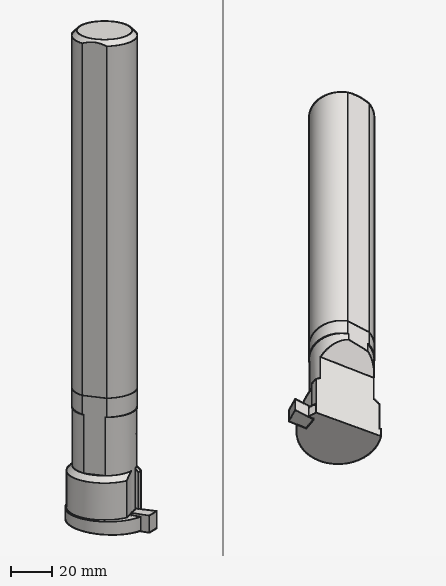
import cadquery as cq

total_height = 254.5
shank_bottom = 69.7
shank_radius = 16.0
flat_distance = 14.8
top_chamfer = 2.5

stem_top = 59.8
stem_radius = 15.8
relief_top = 52.5
relief_bottom = 46.0

drum_radius = 18.5
drum_top = 29.5
shoulder = drum_radius - stem_radius
disc_radius = 20.9
disc_center_x = 1.65
disc_center_y = 0.3
disc_top = 7.6
disc_low_side_z = 0.3
disc_high_side_z = 1.9

cut_center_y = 6.0
cut_slope_angle = 7.0

notch_x = 15.3
notch_y = 0.0
drum_right_x = 17.5

tip_top = 9.0
tip_inner_x = 16.3
tip_overhang = 4.5
tip_outer_x = disc_center_x + disc_radius + tip_overhang
tip_back_y = notch_y
tip_inner_front_y = -6.5
tip_outer_front_y = -7.6
tip_side_clearance = 1.3

bevel_width = 1.8
bevel_depth = 3.8

big = 101.8


def round_bar(radius, bottom, top):
    return cq.Workplane("XY").workplane(offset=bottom).circle(radius).extrude(top - bottom)


def add_flats(bar):
    """Trim a bar to the two flats facing -Y and +Y."""
    slab = cq.Workplane("XY").box(big, 2 * flat_distance, total_height, centered=(True, True, False))
    return bar.intersect(slab)


def make_shank():
    bar = round_bar(shank_radius, shank_bottom, total_height)
    return add_flats(bar.faces(">Z").chamfer(top_chamfer))


def make_drum():
    """Shouldered drum, trimmed on the right and notched in front of the tip."""
    drum = round_bar(drum_radius, disc_top, drum_top).faces(">Z").chamfer(shoulder)
    right_trim = cq.Workplane("XY").box(big, big, big).translate((drum_right_x + big / 2, 0, 0))
    notch = cq.Workplane("XY").box(big, big, big)
    notch = notch.translate((notch_x + big / 2, notch_y - big / 2, 0))
    return drum.cut(right_trim).cut(notch)


def make_disc():
    """Support disc whose underside slopes down towards the tip."""
    left_x = disc_center_x - disc_radius
    right_x = disc_center_x + disc_radius
    wedge = (
        cq.Workplane("XZ")
        .polyline([(left_x, disc_high_side_z), (right_x, disc_low_side_z), (right_x, disc_top), (left_x, disc_top)])
        .close()
        .extrude(big / 2, both=True)
    )
    disc = cq.Workplane("XY").center(disc_center_x, disc_center_y).circle(disc_radius).extrude(disc_top)
    bevel = (
        cq.Workplane("XY")
        .moveTo(drum_right_x, bevel_depth)
        .lineTo(drum_right_x + bevel_width, tip_back_y)
        .lineTo(big, tip_back_y)
        .lineTo(big, big)
        .lineTo(drum_right_x, big)
        .close()
        .extrude(disc_top)
    )
    return disc.intersect(wedge).cut(bevel)


def make_back_cut():
    """Slanted half space behind the head, with a ramp up to the full stem."""
    ramp_run = relief_top - relief_bottom
    cut = (
        cq.Workplane("YZ")
        .polyline([(0, -big), (big, -big), (big, relief_bottom + big), (ramp_run, relief_top), (0, relief_bottom)])
        .close()
        .extrude(big, both=True)
    )
    return cut.rotate((0, 0, 0), (0, 0, 1), -cut_slope_angle).translate((0, cut_center_y, 0))


def make_tip():
    outline = [
        (tip_inner_x, tip_back_y),
        (tip_outer_x, tip_back_y),
        (tip_outer_x - tip_side_clearance, tip_outer_front_y),
        (tip_inner_x, tip_inner_front_y),
    ]
    return cq.Workplane("XY").polyline(outline).close().extrude(tip_top)


def make_head(tip):
    collar = add_flats(round_bar(shank_radius, stem_top, shank_bottom))
    stem = add_flats(round_bar(stem_radius, disc_top, stem_top))
    head = collar.union(stem).union(make_drum()).union(make_disc())
    return head.cut(make_back_cut()).cut(tip)


shank = make_shank()
tip = make_tip()
head = make_head(tip)

result = cq.Compound.makeCompound([shank.solids().val(), head.solids().val(), tip.val()])